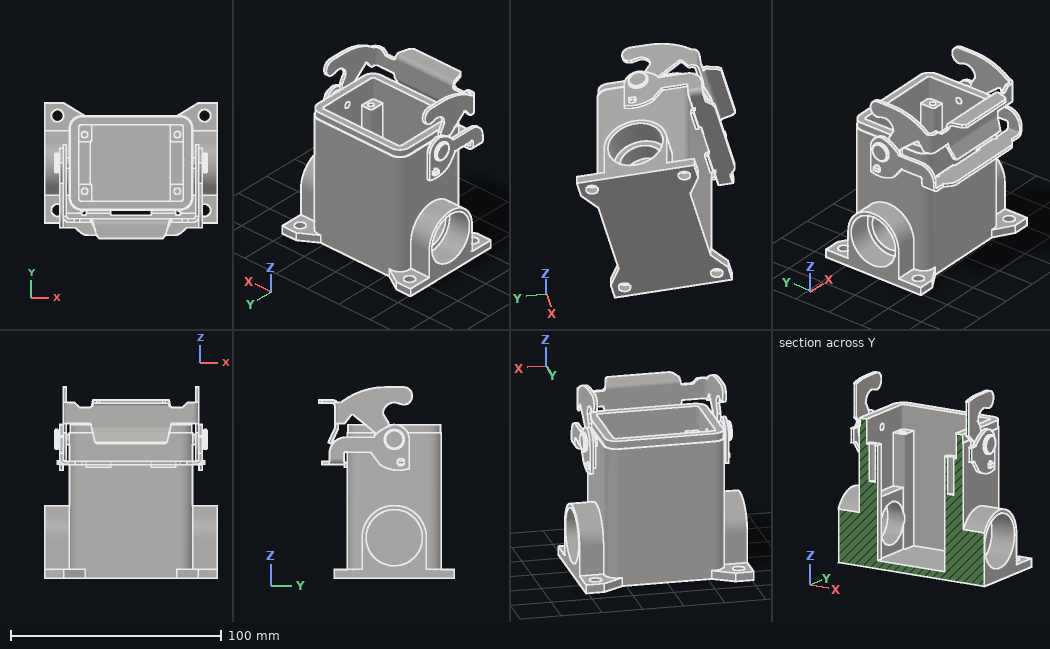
import cadquery as cq
import math

BODY_LENGTH = 58.6
BODY_WIDTH = 44.8
BODY_HEIGHT = 73.1
CORNER_RADIUS = 6.0
RIM_BOTTOM = 69.2
RIM_INSET = 0.4

BASE_LENGTH = 82.0
BASE_WIDTH = 57.15
BASE_HEIGHT = 4.3
EAR_TIP_X = 32.0
EAR_ROOT_X = 21.8
MOUNT_HOLE_X = 34.9
MOUNT_HOLE_Y = 22.5
MOUNT_HOLE_DIAMETER = 5.7

CAVITY_LENGTH = 49.9
CAVITY_WIDTH = 36.3
CAVITY_CORNER_RADIUS = 1.5

POST_INNER_X = 18.7
POST_INNER_Y = 10.1
POST_TOP = 60.9
POST_EDGE_RADIUS = 0.8
POST_HOLE_X = 22.0
POST_HOLE_Y = 13.5
POST_HOLE_DIAMETER = 3.0
POST_HOLE_DEPTH = 18.2

BOSS_RADIUS = 15.3
BOSS_AXIS_Z = 19.4
BORE_RADIUS = 13.4
BORE_DEPTH = 12.65
ENTRY_RADIUS = 10.5
OPEN_LEDGE_X = 19.4
LEDGE_TOP = BOSS_AXIS_Z + BOSS_RADIUS

SHEET = 1.6
BAIL_HALF_WIDTH = 33.9
HANDLE_HALF_WIDTH = BAIL_HALF_WIDTH - SHEET
BEND_INNER = 1.4
BEND_OUTER = BEND_INNER + SHEET

PIVOT_Z = 66.1
PIVOT_RADIUS = 2.5
STUB_RADIUS = 1.6
HEAD_RADIUS = 4.7
HEAD_INNER_X = 34.5
HEAD_OUTER_X = 36.2
HEAD_CHAMFER = 0.55

HANDLE_TOP = 91.0
HANDLE_FRONT_Y = -28.2
HANDLE_BACK_Y = HANDLE_FRONT_Y + SHEET
HANDLE_BAND_BOTTOM = 73.5
HANDLE_BAND_TOP = 83.6
HANDLE_FOOT_Z = 54.2
HOOK_RADIUS = 4.3
NOTCH_RADIUS = 5.3
NOTCH_Z = 78.3
NOTCH_START = (2.2, 83.1)
NECK_Y = -2.7
NECK_TOP = 74.0
EYE_RADIUS = 4.7
FOOT_CURVE_MIDDLE = (-8.2, 60.8)
FOOT_CURVE_END = (-9.2, 69.25)
GUSSET_BACK_Y = -19.5
GUSSET_FRONT_Y = -20.4
GUSSET_Z = 77.7
BAND_BACK_Y = -23.7
BROW_START = (-3.8, HANDLE_TOP)
BROW_MIDDLE = (-14.6, 89.4)
BROW_END = (-25.2, 83.8)

TAB_TOP = 84.9
TAB_TIP_Y = -35.9
TAB_ROOT_HALF = 18.6
TAB_SHOULDER_HALF = 16.4
TAB_TIP_HALF = 15.1
TAB_SHOULDER_Y = -34.4
RELIEF_FLOOR = 81.3
RELIEF_INNER_X = 19.4
RELIEF_OUTER_X = 24.4
RELIEF_TOP_X = 26.8

FLAP_BEND_Z = 71.2
FLAP_TIP_Z = 64.0
FLAP_ANGLE = math.radians(25)
FLAP_ROOT_HALF = 19.2
FLAP_TIP_HALF = 16.9
FLAP_TIP_RADIUS = 1.8

STOP_Y = 3.1
STOP_Z = 55.2
STOP_WIDTH = 3.1
STOP_OUTER_X = 35.0
STOP_WINDOW_RADIUS = 1.7

LOBE_RADIUS = 7.1
LOBE_CORNER_Z = 52.2
LOBE_SLOPE_MIDDLE = (-4.5, 71.5)
LOBE_SLOPE_END = (-9.6, 67.7)
LOBE_BELLY_START = (-6.8, 54.1)
LOBE_BELLY_LOW = (1.3, 51.4)
ARM_TOP = 67.2
ARM_BOTTOM = 60.1
ARM_ROOT_Y = -11.3
LEG_BACK_Y = -23.8
LEG_FRONT_Y = -30.85
ELBOW_RADIUS = 7.8
ARM_CORNER = 0.6

CROSSBAR_BOTTOM = 54.05
CROSSBAR_TOP = CROSSBAR_BOTTOM + SHEET
APRON_FRONT_Y = -34.4
APRON_SIDE_X = 26.5
APRON_FRONT_X = 20.2
APRON_CURVE_START = (24.0, -33.0)
APRON_CURVE_MIDDLE = (22.4, -34.0)
SLOT_FLOOR_Y = -24.75
SLOT_OUTER_X = 23.5
SLOT_CORNER_RADIUS = 0.7
LIP_OUTER_X = 21.2
LIP_INNER_X = 9.7
LIP_TIP_Y = -BODY_WIDTH / 2
LIP_SLOPE_DROP = 1.3
LIP_BOTTOM = 52.8

SIDES = (-1, 1)
HALF_RIGHT_ANGLE = math.sqrt(0.5)


def box_between(x_range, y_range, z_range):
    """Box spanning the given ranges; the ends of each range may come in either order."""
    (x0, x1), (y0, y1), (z0, z1) = (sorted(r) for r in (x_range, y_range, z_range))
    return cq.Workplane("XY").box(x1 - x0, y1 - y0, z1 - z0, centered=False).translate((x0, y0, z0))


def x_cylinder(radius, y, z, x_start, x_end):
    """Cylinder along X between two X places."""
    sketch = cq.Workplane("YZ", origin=(x_start, 0, 0)).center(y, z).circle(radius)
    return sketch.extrude(x_end - x_start)


def side_sheet(outline, x_start, x_end):
    """Extrude a closed outline of the YZ plane between two X places."""
    return outline.extrude(x_end - x_start).translate((x_start, 0, 0))


def mirrored_outline(plane, half_points):
    """Closed outline from its +X half, listed from one end of the mirror line to the other."""
    other_half = [(-x, v) for x, v in reversed(half_points)]
    return cq.Workplane(plane).polyline(half_points + other_half).close()


def base_flange():
    """Mounting plate with a tapered ear at each corner."""
    half_y = BASE_WIDTH / 2
    outline = []
    for sx, sy in ((1, 1), (-1, 1), (-1, -1), (1, -1)):
        corner = [
            (sx * BASE_LENGTH / 2, sy * half_y),
            (sx * EAR_TIP_X, sy * half_y),
            (sx * EAR_ROOT_X, sy * BODY_WIDTH / 2),
        ]
        outline += corner if sx == sy else corner[::-1]
    flange = cq.Workplane("XY").polyline(outline).close().extrude(BASE_HEIGHT)
    holes = (
        cq.Workplane("XY")
        .rect(2 * MOUNT_HOLE_X, 2 * MOUNT_HOLE_Y, forConstruction=True)
        .vertices()
        .circle(MOUNT_HOLE_DIAMETER / 2)
        .extrude(BASE_HEIGHT)
    )
    return flange.cut(holes)


def outer_shell():
    """Rounded box with a slightly smaller rim at the top."""
    lower = cq.Workplane("XY").rect(BODY_LENGTH, BODY_WIDTH).extrude(RIM_BOTTOM)
    rim = (
        cq.Workplane("XY", origin=(0, 0, RIM_BOTTOM))
        .rect(BODY_LENGTH - 2 * RIM_INSET, BODY_WIDTH - 2 * RIM_INSET)
        .extrude(BODY_HEIGHT - RIM_BOTTOM)
    )
    return lower.edges("|Z").fillet(CORNER_RADIUS).union(rim.edges("|Z").fillet(CORNER_RADIUS - RIM_INSET))


def cable_boss(side):
    """Arch-topped block that carries a cable entry."""
    end_x = side * BASE_LENGTH / 2
    arch = x_cylinder(BOSS_RADIUS, 0, BOSS_AXIS_Z, 0, end_x)
    foot = box_between((0, end_x), (-BOSS_RADIUS, BOSS_RADIUS), (0, BOSS_AXIS_Z))
    return arch.union(foot)


def cavity():
    """Inner space, open at the top."""
    return (
        cq.Workplane("XY", origin=(0, 0, BASE_HEIGHT))
        .rect(CAVITY_LENGTH, CAVITY_WIDTH)
        .extrude(BODY_HEIGHT - BASE_HEIGHT)
        .edges("|Z")
        .fillet(CAVITY_CORNER_RADIUS)
    )


def screw_post(sx, sy):
    """Corner post with a blind screw hole."""
    post = box_between(
        (sx * POST_INNER_X, sx * (CAVITY_LENGTH + BODY_LENGTH) / 4),
        (sy * POST_INNER_Y, sy * (CAVITY_WIDTH + BODY_WIDTH) / 4),
        (0, POST_TOP),
    )
    inner_edge = ("<X" if sx > 0 else ">X", "<Y" if sy > 0 else ">Y")
    post = post.faces(inner_edge[0]).edges(inner_edge[1]).fillet(POST_EDGE_RADIUS)
    hole = (
        cq.Workplane("XY", origin=(sx * POST_HOLE_X, sy * POST_HOLE_Y, POST_TOP))
        .circle(POST_HOLE_DIAMETER / 2)
        .extrude(-POST_HOLE_DEPTH)
    )
    return post.cut(hole)


def entry_ledge(side, inner_x):
    """Thick wall between two posts, behind a cable entry."""
    outer_x = (CAVITY_LENGTH + BODY_LENGTH) / 4
    return box_between(
        (side * inner_x, side * outer_x), (-POST_INNER_Y, POST_INNER_Y), (0, LEDGE_TOP)
    )


def make_housing():
    housing = base_flange().union(outer_shell())
    for side in SIDES:
        housing = housing.union(cable_boss(side))
    housing = housing.cut(cavity())
    for sx in SIDES:
        for sy in SIDES:
            housing = housing.union(screw_post(sx, sy))
    housing = housing.union(entry_ledge(-1, OPEN_LEDGE_X)).union(entry_ledge(1, POST_INNER_X))
    for side in SIDES:
        end_x = side * BASE_LENGTH / 2
        housing = housing.cut(x_cylinder(BORE_RADIUS, 0, BOSS_AXIS_Z, end_x, end_x - side * BORE_DEPTH))
        housing = housing.cut(x_cylinder(STUB_RADIUS, 0, PIVOT_Z, 0, side * BODY_LENGTH / 2))
    return housing.cut(x_cylinder(ENTRY_RADIUS, 0, BOSS_AXIS_Z, -BASE_LENGTH / 2, 0))


def handle_profile():
    """Side outline of the handle, in the YZ plane."""
    hook_z = HANDLE_TOP - HOOK_RADIUS
    notch_y = -NOTCH_RADIUS * HALF_RIGHT_ANGLE
    notch_z = NOTCH_Z + NOTCH_RADIUS * HALF_RIGHT_ANGLE
    eye_y = EYE_RADIUS * HALF_RIGHT_ANGLE
    neck_end_z = PIVOT_Z + math.sqrt(EYE_RADIUS**2 - NECK_Y**2)
    return (
        cq.Workplane("YZ")
        .moveTo(*BROW_START)
        .lineTo(HOOK_RADIUS, HANDLE_TOP)
        .threePointArc((2 * HOOK_RADIUS, hook_z), (HOOK_RADIUS, hook_z - HOOK_RADIUS))
        .lineTo(*NOTCH_START)
        .threePointArc((notch_y, notch_z), (-NOTCH_RADIUS, NOTCH_Z))
        .lineTo(NECK_Y, NECK_TOP)
        .lineTo(NECK_Y, neck_end_z)
        .threePointArc((eye_y, PIVOT_Z + eye_y), (EYE_RADIUS, PIVOT_Z))
        .lineTo(EYE_RADIUS, HANDLE_FOOT_Z)
        .lineTo(0, HANDLE_FOOT_Z)
        .threePointArc(FOOT_CURVE_MIDDLE, FOOT_CURVE_END)
        .lineTo(GUSSET_BACK_Y, GUSSET_Z)
        .lineTo(GUSSET_FRONT_Y, GUSSET_Z)
        .lineTo(BAND_BACK_Y, HANDLE_BAND_BOTTOM)
        .lineTo(HANDLE_FRONT_Y, HANDLE_BAND_BOTTOM)
        .lineTo(HANDLE_FRONT_Y, HANDLE_BAND_TOP)
        .lineTo(*BROW_END)
        .threePointArc(BROW_MIDDLE, BROW_START)
        .close()
    )


def handle_strip():
    """Sheet bent to a U around the front of the housing, cut to the handle outline."""
    y_back = 2 * HOOK_RADIUS
    outer = box_between(
        (-HANDLE_HALF_WIDTH, HANDLE_HALF_WIDTH), (HANDLE_FRONT_Y, y_back), (0, HANDLE_TOP)
    )
    inner_half = HANDLE_HALF_WIDTH - SHEET
    inner = box_between((-inner_half, inner_half), (HANDLE_BACK_Y, y_back), (0, HANDLE_TOP))
    u_sheet = outer.edges("|Z and <Y").fillet(BEND_OUTER).cut(inner.edges("|Z and <Y").fillet(BEND_INNER))
    return u_sheet.intersect(side_sheet(handle_profile(), -HANDLE_HALF_WIDTH, HANDLE_HALF_WIDTH))


def band_relief():
    """Dips in the top edge of the front band, with room between them for the thumb tab bend."""
    half_points = [
        (RELIEF_TOP_X, HANDLE_TOP),
        (RELIEF_TOP_X, HANDLE_BAND_TOP),
        (RELIEF_OUTER_X, RELIEF_FLOOR),
        (RELIEF_INNER_X, RELIEF_FLOOR),
        (TAB_ROOT_HALF, TAB_TOP - BEND_OUTER),
    ]
    relief = mirrored_outline("XZ", half_points).extrude(SHEET)
    return relief.translate((0, HANDLE_BACK_Y, 0))


def thumb_tab():
    """Sheet bent forward from the top of the front band."""
    bend_y = HANDLE_BACK_Y - BEND_OUTER
    bend_z = TAB_TOP - BEND_OUTER
    inner_mid = BEND_INNER * HALF_RIGHT_ANGLE
    outer_mid = BEND_OUTER * HALF_RIGHT_ANGLE
    section = (
        cq.Workplane("YZ")
        .moveTo(HANDLE_FRONT_Y, bend_z)
        .threePointArc((bend_y + inner_mid, bend_z + inner_mid), (bend_y, TAB_TOP - SHEET))
        .lineTo(TAB_TIP_Y, TAB_TOP - SHEET)
        .lineTo(TAB_TIP_Y, TAB_TOP)
        .lineTo(bend_y, TAB_TOP)
        .threePointArc((bend_y + outer_mid, bend_z + outer_mid), (HANDLE_BACK_Y, bend_z))
        .close()
    )
    half_points = [
        (TAB_ROOT_HALF, HANDLE_BACK_Y),
        (TAB_SHOULDER_HALF, TAB_SHOULDER_Y),
        (TAB_TIP_HALF, TAB_TIP_Y),
    ]
    plan = mirrored_outline("XY", half_points).extrude(HANDLE_TOP)
    return side_sheet(section, -TAB_ROOT_HALF, TAB_ROOT_HALF).intersect(plan)


def front_flap():
    """Sheet bent outward and down from the bottom of the front band."""
    edge_rise = SHEET * math.sin(FLAP_ANGLE)
    edge_run = SHEET * math.cos(FLAP_ANGLE)
    bend_shift = SHEET * math.tan(FLAP_ANGLE / 2)
    inner_tip_y = HANDLE_BACK_Y - (FLAP_BEND_Z - FLAP_TIP_Z) * math.tan(FLAP_ANGLE)
    inner_bend = (HANDLE_BACK_Y, FLAP_BEND_Z)
    outer_bend = (HANDLE_FRONT_Y, FLAP_BEND_Z + bend_shift)
    section_points = [
        (HANDLE_BACK_Y, HANDLE_BAND_BOTTOM),
        inner_bend,
        (inner_tip_y, FLAP_TIP_Z),
        (inner_tip_y - edge_run, FLAP_TIP_Z + edge_rise),
        outer_bend,
        (HANDLE_FRONT_Y, HANDLE_BAND_BOTTOM),
    ]
    section = cq.Workplane("YZ").polyline(section_points).close()
    sheet = side_sheet(section, -FLAP_ROOT_HALF, FLAP_ROOT_HALF)
    for bend, radius in ((inner_bend, BEND_INNER), (outer_bend, BEND_OUTER)):
        sheet = sheet.edges(cq.NearestToPointSelector((0, *bend))).fillet(radius)
    face = mirrored_outline(
        "XZ", [(FLAP_ROOT_HALF, HANDLE_BAND_BOTTOM), (FLAP_TIP_HALF, FLAP_TIP_Z)]
    ).extrude(-TAB_TIP_Y)
    return sheet.intersect(face.edges("|Y and <Z").fillet(FLAP_TIP_RADIUS))


def handle_stop(side):
    """Short tab at the handle's foot that reaches out through the window in the bail."""
    return box_between(
        (side * (HANDLE_HALF_WIDTH - SHEET), side * STOP_OUTER_X),
        (STOP_Y - STOP_WIDTH / 2, STOP_Y + STOP_WIDTH / 2),
        (HANDLE_FOOT_Z, HANDLE_FOOT_Z + SHEET),
    )


def make_handle():
    handle = handle_strip().cut(band_relief())
    for side in SIDES:
        handle = handle.union(handle_stop(side))
    return handle.union(thumb_tab()).union(front_flap())


def bail_profile():
    """Side outline of a bail arm, from the pivot lobe to the top of the crossbar bend."""
    lobe_mid = LOBE_RADIUS * HALF_RIGHT_ANGLE
    elbow_y = LEG_FRONT_Y + ELBOW_RADIUS
    elbow_z = ARM_TOP - ELBOW_RADIUS
    elbow_mid = ELBOW_RADIUS * HALF_RIGHT_ANGLE
    leg_bottom = CROSSBAR_BOTTOM + BEND_OUTER
    return (
        cq.Workplane("YZ")
        .moveTo(LOBE_RADIUS, LOBE_CORNER_Z)
        .lineTo(LOBE_RADIUS, PIVOT_Z)
        .threePointArc((lobe_mid, PIVOT_Z + lobe_mid), (0, PIVOT_Z + LOBE_RADIUS))
        .threePointArc(LOBE_SLOPE_MIDDLE, LOBE_SLOPE_END)
        .lineTo(LOBE_SLOPE_END[0], ARM_TOP)
        .lineTo(elbow_y, ARM_TOP)
        .threePointArc((elbow_y - elbow_mid, elbow_z + elbow_mid), (LEG_FRONT_Y, elbow_z))
        .lineTo(LEG_FRONT_Y, leg_bottom)
        .lineTo(LEG_BACK_Y, leg_bottom)
        .lineTo(LEG_BACK_Y, ARM_BOTTOM - ARM_CORNER)
        .lineTo(LEG_BACK_Y + ARM_CORNER, ARM_BOTTOM)
        .lineTo(ARM_ROOT_Y, ARM_BOTTOM)
        .lineTo(*LOBE_BELLY_START)
        .threePointArc(LOBE_BELLY_LOW, (LOBE_RADIUS, LOBE_CORNER_Z))
        .close()
    )


def bail_crossbar():
    """Horizontal sheet that joins the arms, with a bend at each end."""
    leg = (LEG_FRONT_Y, LEG_BACK_Y)
    top = ARM_BOTTOM - ARM_CORNER
    inner_half = BAIL_HALF_WIDTH - SHEET
    outer = box_between((-BAIL_HALF_WIDTH, BAIL_HALF_WIDTH), leg, (CROSSBAR_BOTTOM, top))
    inner = box_between((-inner_half, inner_half), leg, (CROSSBAR_TOP, top))
    trough = outer.edges("|Y and <Z").fillet(BEND_OUTER)
    return trough.cut(inner.edges("|Y and <Z").fillet(BEND_INNER))


def bail_apron():
    """Flat front edge of the crossbar."""
    right_half = (
        cq.Workplane("XY", origin=(0, 0, CROSSBAR_BOTTOM))
        .moveTo(0, LEG_FRONT_Y)
        .lineTo(APRON_SIDE_X, LEG_FRONT_Y)
        .lineTo(*APRON_CURVE_START)
        .threePointArc(APRON_CURVE_MIDDLE, (APRON_FRONT_X, APRON_FRONT_Y))
        .lineTo(0, APRON_FRONT_Y)
        .close()
        .extrude(SHEET)
    )
    return right_half.union(right_half.mirror("YZ"))


def crossbar_lip(side):
    """Lip bent down from the back edge of the crossbar, beside the housing."""
    section_points = [
        (SLOT_FLOOR_Y, CROSSBAR_BOTTOM),
        (SLOT_FLOOR_Y, CROSSBAR_TOP),
        (LEG_BACK_Y, CROSSBAR_TOP),
        (LIP_TIP_Y, CROSSBAR_TOP - LIP_SLOPE_DROP),
        (LIP_TIP_Y, LIP_BOTTOM),
        (LEG_BACK_Y, LIP_BOTTOM),
        (LEG_BACK_Y, CROSSBAR_BOTTOM),
    ]
    section = cq.Workplane("YZ").polyline(section_points).close()
    return side_sheet(section, side * LIP_INNER_X, side * LIP_OUTER_X)


def crossbar_slot(x_start, x_end):
    """Slot in the back edge of the crossbar, with rounded inner corners."""
    slot = box_between((x_start, x_end), (SLOT_FLOOR_Y, LEG_BACK_Y), (CROSSBAR_BOTTOM, CROSSBAR_TOP))
    return slot.edges("|Z and <Y").fillet(SLOT_CORNER_RADIUS)


def bail_arm(side):
    """Side sheet of the bail, with a round window for the handle's stop."""
    inner_x = side * (BAIL_HALF_WIDTH - SHEET)
    outer_x = side * BAIL_HALF_WIDTH
    window = x_cylinder(STOP_WINDOW_RADIUS, STOP_Y, STOP_Z, inner_x, outer_x)
    return side_sheet(bail_profile(), inner_x, outer_x).cut(window)


def make_bail():
    bail = bail_crossbar().union(bail_apron())
    bail = bail.cut(crossbar_slot(-LIP_INNER_X, LIP_INNER_X))
    for side in SIDES:
        bail = bail.cut(crossbar_slot(side * LIP_OUTER_X, side * SLOT_OUTER_X))
        bail = bail.union(crossbar_lip(side)).union(bail_arm(side))
    return bail


def pivot_pin(side):
    """Headed pin through both sheets, with a stub that fills the hole in the housing wall."""
    wall_x = side * BODY_LENGTH / 2
    stub = x_cylinder(STUB_RADIUS, 0, PIVOT_Z, side * CAVITY_LENGTH / 2, wall_x)
    shank = x_cylinder(PIVOT_RADIUS, 0, PIVOT_Z, wall_x, side * HEAD_INNER_X)
    head = x_cylinder(HEAD_RADIUS, 0, PIVOT_Z, side * HEAD_INNER_X, side * HEAD_OUTER_X)
    return stub.union(shank).union(head.edges().chamfer(HEAD_CHAMFER))


def make_lever():
    lever = make_handle().union(make_bail())
    for side in SIDES:
        lever = lever.union(pivot_pin(side))
    return lever


housing = make_housing()
lever = make_lever()

result = cq.Compound.makeCompound([housing.val(), lever.val()])